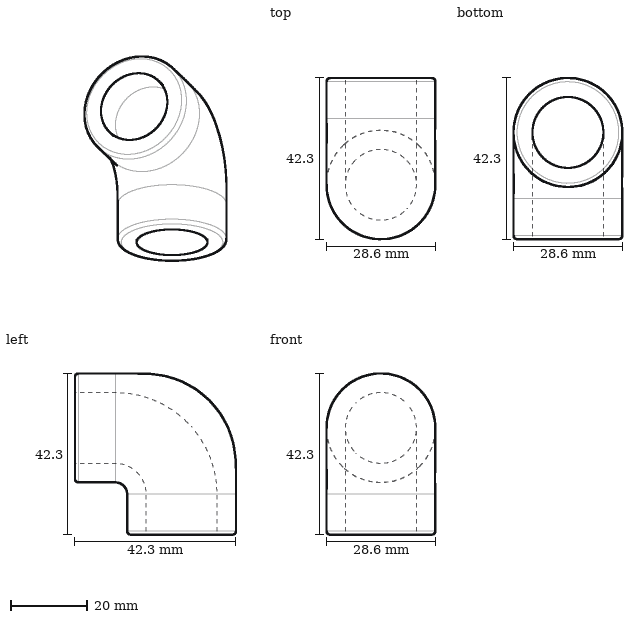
import cadquery as cq
import math

overall = 42.3
outer_diameter = 28.6
bore_diameter = 18.6
collar_length = 10.65
rim_fillet = 0.97
outer_bend_radius = 24.0
section_count = 7
bend_angle = 90.0

outer_radius = outer_diameter / 2
axis_height = overall - outer_radius
throat_radius = overall - outer_diameter - collar_length
bend_axis_radius = throat_radius + outer_radius
back_distance = throat_radius + outer_diameter
pivot = (0, bend_axis_radius, collar_length)


def distance_to_back(angle):
    """Distance from the bend pivot to the back of the elbow at an angle from -Y."""
    arc_offset = back_distance - outer_bend_radius
    steep_angle = min(angle, math.pi / 2 - angle)
    if math.tan(steep_angle) * back_distance <= arc_offset:
        return back_distance / math.cos(steep_angle)
    along_ray = arc_offset * (math.cos(angle) + math.sin(angle))
    across_ray = arc_offset * (math.cos(angle) - math.sin(angle))
    return along_ray + math.sqrt(outer_bend_radius**2 - across_ray**2)


def bend_section(angle):
    """Elliptical cross-section on a plane turned about the bend pivot."""
    outward = cq.Vector(0, -math.cos(angle), math.sin(angle))
    normal = cq.Vector(0, math.sin(angle), math.cos(angle))
    half_depth = (distance_to_back(angle) - throat_radius) / 2
    center = cq.Vector(*pivot) + outward * (throat_radius + half_depth)
    edge = cq.Edge.makeEllipse(
        max(half_depth, outer_radius),
        min(half_depth, outer_radius),
        center,
        normal,
        outward * -1,
    )
    return cq.Wire.assembleEdges([edge])


def make_bend():
    step = math.radians(bend_angle) / (section_count - 1)
    sections = [bend_section(i * step) for i in range(section_count)]
    return cq.Workplane(cq.Solid.makeLoft(sections))


def port_planes():
    """Planes on the two port faces, with normals pointing into the elbow."""
    lower = cq.Plane(origin=(0, 0, 0), xDir=(1, 0, 0), normal=(0, 0, 1))
    side = cq.Plane(origin=(0, axis_height, axis_height), xDir=(1, 0, 0), normal=(0, -1, 0))
    return lower, side


def make_collar(plane):
    collar = cq.Workplane(plane).circle(outer_radius).extrude(collar_length)
    port_face = cq.selectors.NearestToPointSelector(plane.origin.toTuple())
    return collar.faces(port_face).edges().fillet(rim_fillet)


def make_bore():
    """Constant-diameter passage: a straight run from each port joined by a bend."""
    passage = (
        cq.Workplane("XY", origin=(0, 0, collar_length))
        .circle(bore_diameter / 2)
        .revolve(bend_angle, (0, bend_axis_radius), (-1, bend_axis_radius))
    )
    for plane in port_planes():
        passage = passage.union(cq.Workplane(plane).circle(bore_diameter / 2).extrude(collar_length))
    return passage


body = make_bend()
for port in port_planes():
    body = body.union(make_collar(port))
result = body.cut(make_bore())